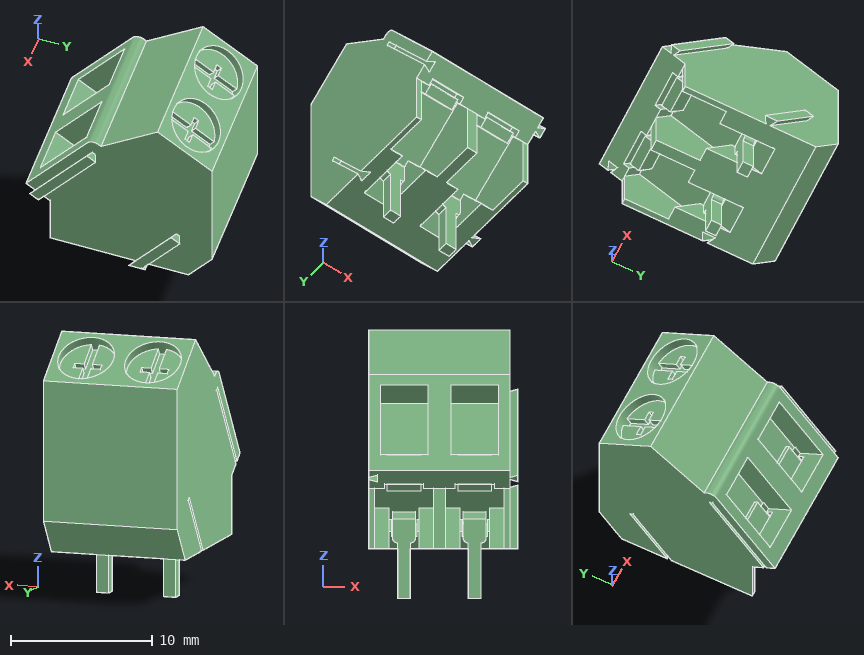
import cadquery as cq
import math


ways = 2
pitch = 5.0
housing_width = ways * pitch
way_centers = [(way + 0.5) * pitch for way in range(ways)]

face_angle = math.radians(55)
overall_depth = 13.9
nose_height = 5.53
base_depth = 12.1
back_height = 12.64
peak_height = 15.48
back_chamfer_height = 2.53
shoulder_rise = 8.59
shoulder_thickness = 0.84
shoulder_radius = 0.59

along = math.cos(face_angle)
up = math.sin(face_angle)
top_face_rise = overall_depth * along + (back_height - nose_height) * up
nose_overhang = (overall_depth - base_depth) / up
below_base = -7.6
overcut = 0.19

entry_width = 3.36
entry_depth = 2.32
entry_bottom = 1.39
entry_top = 7.41

chamber_width = 4.16
chamber_end = 7.49
chamber_roof = 2.03
lip_notch_width = 2.77
lip_notch_start = 1.67

tongue_width = 2.4
tongue_front = 2.01
tongue_back = 2.85
tongue_bottom = 0.25
tongue_top = 2.75

pin_slot_width = 2.1
pin_slot_end = 8.91
pin_recess_width = 1.8
pin_recess_end = 9.5
pin_slot_low_roof = 0.99
pin_slot_low_end = 11.4

dovetail_neck = 0.27
rib_height = 0.55
rib_tip_width = 0.8
groove_depth = 0.6
groove_floor_width = 0.84
dovetails = [(0.97, 7.45), (10.01, 5.5)]

screw_diameter = 4.08
screw_axis_depth = 4.83
screw_sink = 0.72
screw_length = 1.9
drive_slot_depth = 0.53
main_slot_width = 0.6
cross_slot_width = 0.42
cross_slot_length = 2.01
cross_slot_offset = 0.11
screw_top = top_face_rise - screw_sink
screw_bottom = screw_top - screw_length

pin_thickness = 0.82
pin_front = 6.52
pin_bend_height = 2.1
pin_tip = -3.52
pin_width = 0.91
pin_head_width = 1.63
pin_head_bottom = 0.42
pin_head_radius = 0.36
pin_embedding = 1.14


def slope_point(depth, rise):
    """(Y, Z) of a place given in the slope frame."""
    return (-overall_depth + depth * up + rise * along, nose_height - depth * along + rise * up)


def slope_plane(x, rise):
    """Plane across the slope: local x is X, local y is depth, the normal points up the slope."""
    y, z = slope_point(0, rise)
    return cq.Plane(origin=(x, y, z), xDir=(1, 0, 0), normal=(0, along, up))


def slope_box(x_center, width, depths, rises):
    start, end = depths
    bottom, top = rises
    return (
        cq.Workplane(slope_plane(x_center, bottom))
        .center(0, (start + end) / 2)
        .rect(width, end - start)
        .extrude(top - bottom)
    )


def screw_cylinder(x_center, bottom, top):
    return (
        cq.Workplane(slope_plane(x_center, bottom))
        .center(0, screw_axis_depth)
        .circle(screw_diameter / 2)
        .extrude(top - bottom)
    )


def side_prism(width):
    """Side outline of the housing, extruded along X from X = 0."""
    peak_y = -(peak_height - back_height) * math.tan(face_angle)
    chamfer_y = -back_chamfer_height / math.tan(face_angle)
    arc_reach = shoulder_radius * (1 - math.sqrt(0.5))
    return (
        cq.Workplane("YZ")
        .moveTo(chamfer_y, 0)
        .lineTo(0, back_chamfer_height)
        .lineTo(0, back_height)
        .lineTo(peak_y, peak_height)
        .lineTo(*slope_point(shoulder_thickness, shoulder_rise))
        .lineTo(*slope_point(shoulder_radius, shoulder_rise))
        .threePointArc(
            slope_point(arc_reach, shoulder_rise - arc_reach),
            slope_point(0, shoulder_rise - shoulder_radius),
        )
        .lineTo(*slope_point(0, 0))
        .lineTo(*slope_point(nose_overhang, 0))
        .lineTo(-base_depth, 0)
        .close()
        .extrude(width)
    )


def dovetail_bar(x, depth, top, height, wide):
    """Bar that widens toward +X from a narrow neck at the given X."""
    return (
        cq.Workplane(slope_plane(x, below_base))
        .center(0, depth)
        .polyline(
            [
                (0, -dovetail_neck / 2),
                (height, -wide / 2),
                (height, wide / 2),
                (0, dovetail_neck / 2),
            ]
        )
        .close()
        .extrude(top - below_base)
    )


def add_dovetails(body):
    rib_limits = side_prism(housing_width + rib_height)
    for depth, top in dovetails:
        rib = dovetail_bar(housing_width, depth, top, rib_height, rib_tip_width)
        groove = dovetail_bar(0, depth, top, groove_depth, groove_floor_width)
        body = body.union(rib.intersect(rib_limits)).cut(groove)
    return body


def cut_way(body, x):
    """Wire entry, chamber, pin slot, tongue and screw bore of one way."""
    entry = slope_box(x, entry_width, (-overcut, entry_depth), (entry_bottom, entry_top))
    chamber = slope_box(x, chamber_width, (nose_overhang, chamber_end), (below_base, chamber_roof))
    lip_notch = slope_box(x, lip_notch_width, (lip_notch_start, entry_depth), (below_base, entry_bottom))
    slot = slope_box(x, pin_slot_width, (chamber_end, pin_slot_end), (below_base, chamber_roof))
    recess = slope_box(x, pin_recess_width, (pin_slot_end, pin_recess_end), (below_base, chamber_roof))
    low_slot = slope_box(
        x, pin_slot_width, (pin_slot_end, pin_slot_low_end), (below_base, pin_slot_low_roof)
    )
    bore = screw_cylinder(x, screw_bottom, top_face_rise + overcut)
    tongue = slope_box(x, tongue_width, (tongue_front, tongue_back), (tongue_bottom, tongue_top))
    for opening in (entry, chamber, lip_notch, slot, recess, low_slot, bore):
        body = body.cut(opening)
    return body.union(tongue)


def make_pin(x):
    """Bent strip: a wide head that leans back into the housing and a narrow tail below the base."""
    bend_depth = (overall_depth - pin_front) * up + (nose_height - pin_bend_height) * along
    head_rise = chamber_roof + pin_embedding
    bend_drop = pin_thickness * math.tan((math.pi / 2 - face_angle) / 2)
    back_y = -pin_front + pin_thickness
    head = (
        cq.Workplane("YZ", origin=(x - pin_head_width / 2, 0, 0))
        .polyline(
            [
                (-pin_front, pin_head_bottom),
                (-pin_front, pin_bend_height),
                slope_point(bend_depth, head_rise),
                slope_point(bend_depth + pin_thickness, head_rise),
                (back_y, pin_bend_height - bend_drop),
                (back_y, pin_head_bottom),
            ]
        )
        .close()
        .extrude(pin_head_width)
        .edges("|Y and <Z")
        .fillet(pin_head_radius)
    )
    tail = cq.Workplane("XY").box(
        pin_width, pin_thickness, pin_head_bottom - pin_tip, centered=(True, False, False)
    ).translate((x, -pin_front, pin_tip))
    return head.union(tail)


def make_screw(x):
    """Cylinder with a full-width drive slot and a shorter one across it."""
    slot_rises = (screw_top - drive_slot_depth, screw_top + overcut)
    main_reach = screw_diameter / 2 + overcut
    main_depths = (screw_axis_depth - main_reach, screw_axis_depth + main_reach)
    cross_center = screw_axis_depth + cross_slot_offset
    cross_depths = (cross_center - cross_slot_width / 2, cross_center + cross_slot_width / 2)
    return (
        screw_cylinder(x, screw_bottom, screw_top)
        .cut(slope_box(x, main_slot_width, main_depths, slot_rises))
        .cut(slope_box(x, cross_slot_length, cross_depths, slot_rises))
    )


def make_housing(pins):
    body = add_dovetails(side_prism(housing_width))
    for x in way_centers:
        body = cut_way(body, x)
    for pin in pins:
        body = body.cut(pin)
    return body


pins = [make_pin(x) for x in way_centers]
screws = [make_screw(x) for x in way_centers]
housing = make_housing(pins)

result = cq.Compound.makeCompound(
    [housing.val()] + [screw.val() for screw in screws] + [pin.val() for pin in pins]
)